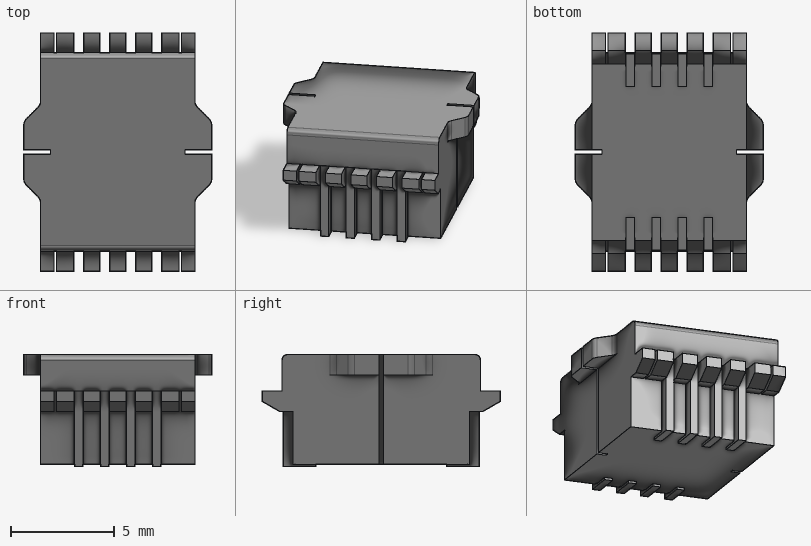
import cadquery as cq

total_length = 11.48
total_width = 9.06
total_height = 5.41

body_width = 7.44
upper_length = 9.56
lower_length = 8.5
body_bottom = 0.11
top_edge_radius = 0.29
ledge_top = 3.65
ledge_height = 1.0
ledge_nose_height = 0.5
ledge_underside_length = 9.78

ear_thickness = 1.0
ear_tip_length = 2.94
ear_corner_radius = 0.45
ear_reach = (total_width - body_width) / 2

side_slot_width = 0.21
side_slot_depth = 1.29

pin_count = 4
pin_pitch = 1.25
pin_width = 0.4
pin_outer_length = 9.45
pin_foot_inner_length = 6.3
channel_width = 0.47
channel_depth = 0.1

end_gap_width = 0.11
end_gap_spacing = 6.02

pin_positions = [(i - (pin_count - 1) / 2) * pin_pitch for i in range(pin_count)]


def box_between(x_range, y_range, z_range):
    """Box given by its low and high limit along each axis."""
    limits = (x_range, y_range, z_range)
    sizes = [high - low for low, high in limits]
    corner = tuple(low for low, high in limits)
    return cq.Workplane("XY").box(*sizes, centered=False).translate(corner)


def centered_range(center, size):
    return (center - size / 2, center + size / 2)


def both_ends(shape):
    """The shape at the -Y end together with its mirror image at the +Y end."""
    return shape.union(shape.mirror("XZ"))


def make_body():
    """End profile of the body, run along its full width, with rounded top edges."""
    ledge_bottom = ledge_top - ledge_height
    half_profile = [
        (upper_length / 2, total_height),
        (upper_length / 2, ledge_top),
        (total_length / 2, ledge_top),
        (total_length / 2, ledge_top - ledge_nose_height),
        (ledge_underside_length / 2, ledge_bottom),
        (lower_length / 2, ledge_bottom),
        (lower_length / 2, body_bottom),
    ]
    mirrored_half = [(-y, z) for y, z in reversed(half_profile)]
    return (
        cq.Workplane("YZ")
        .polyline(half_profile + mirrored_half)
        .close()
        .extrude(body_width / 2, both=True)
        .faces(">Z")
        .edges("|X")
        .fillet(top_edge_radius)
    )


def make_ears():
    """Plate with a 45 degree tapered ear on each side, all bends rounded."""
    wall = body_width / 2
    tip = total_width / 2
    plate_end = upper_length / 2 - top_edge_radius
    tip_y = ear_tip_length / 2
    root_y = tip_y + ear_reach
    side = [(wall, plate_end), (wall, root_y), (tip, tip_y)]
    right_side = side + [(x, -y) for x, y in reversed(side)]
    left_side = [(-x, -y) for x, y in right_side]
    bends = cq.selectors.BoxSelector(
        (-total_width, -root_y - ear_corner_radius, 0),
        (total_width, root_y + ear_corner_radius, total_height),
    )
    return (
        cq.Workplane("XY")
        .workplane(offset=total_height - ear_thickness)
        .polyline(right_side + left_side)
        .close()
        .extrude(ear_thickness)
        .edges("|Z")
        .edges(bends)
        .fillet(ear_corner_radius)
    )


def make_side_slots():
    slot_floor = total_width / 2 - side_slot_depth
    slot = box_between(
        (slot_floor, total_width / 2),
        centered_range(0, side_slot_width),
        (0, total_height),
    )
    return slot.union(slot.mirror("YZ"))


def make_end_gap(x):
    """Cut through the ledge, flush with the end face of the lower block."""
    return both_ends(box_between(
        centered_range(x, end_gap_width),
        (-total_length / 2, -lower_length / 2),
        (ledge_top - ledge_height, ledge_top),
    ))


def make_channel(x):
    """Cut through the ledge and slightly into the lower block, open at the bottom."""
    return both_ends(box_between(
        centered_range(x, channel_width),
        (-total_length / 2, -lower_length / 2 + channel_depth),
        (0, ledge_top),
    ))


def make_pin(x):
    """L-shaped pin: an upright leg in the channel and a foot under the body."""
    leg = box_between(
        centered_range(x, pin_width),
        (-pin_outer_length / 2, -lower_length / 2 + channel_depth),
        (0, ledge_top),
    )
    foot = box_between(
        centered_range(x, pin_width),
        (-pin_outer_length / 2, -pin_foot_inner_length / 2),
        (0, body_bottom),
    )
    return both_ends(leg.union(foot))


result = make_body().union(make_ears()).cut(make_side_slots())

for gap_x in (-end_gap_spacing / 2, end_gap_spacing / 2):
    result = result.cut(make_end_gap(gap_x))

for pin_x in pin_positions:
    result = result.cut(make_channel(pin_x)).union(make_pin(pin_x))